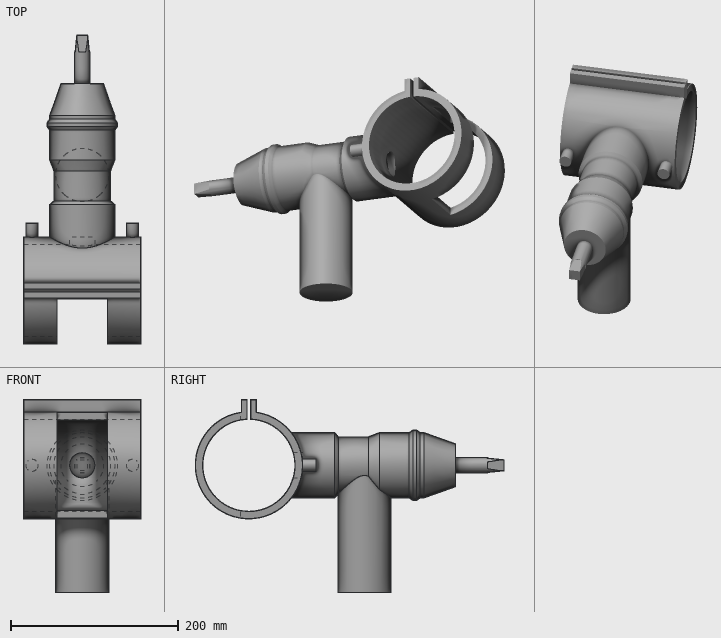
import cadquery as cq
import math

ring_length = 140.0
ring_outer_radius = 64.0
ring_wall = 9.0
ring_bore_radius = ring_outer_radius - ring_wall

lug_half_width = 9.0
slit_width = 4.0
lug_height_above_ring = 15.0
lug_top = math.sqrt(ring_outer_radius**2 - lug_half_width**2) + lug_height_above_ring

window_length = 60.0
window_edge_y = -10.0

wall_hole_diameter = 30.0

pin_diameter = 14.5
pin_spacing = 120.0
pin_end_y = 80.5

body_radius = 39.0
neck_radius = 34.0
collar_radius = 42.0
nose_tip_radius = 25.5
neck_start_y = 107.0
shoulder_chamfer = 4.5
neck_end_y = 143.0
barrel_start_y = 156.0
collar_start_y = 191.5
collar_step = 4.4
nose_tip_y = 247.0

shaft_radius = 9.5
shaft_end_y = 305.0
square_length = 20.0
square_end_width = 13.0
square_root_width = 17.2

handle_radius = 31.75
handle_center_y = 138.0
handle_bottom_z = -152.0


def cylinder_along_y(radius, start_y, end_y, center_x=0.0):
    return cq.Workplane("XZ", origin=(center_x, start_y, 0)).circle(radius).extrude(start_y - end_y)


def cylinder_along_x(radius, length):
    """Cylinder centred on the origin, with its seam at the top."""
    return cq.Workplane("ZY", origin=(length / 2, 0, 0)).circle(radius).extrude(length)


def make_ring_blank():
    """Solid ring cylinder with the lug block standing on it."""
    lugs = cq.Workplane("XY").box(ring_length, 2 * lug_half_width, lug_top, centered=(True, True, False))
    return cylinder_along_x(ring_outer_radius, ring_length).union(lugs)


def make_body():
    """Revolved body, from the ring axis to the nose tip; profile points are (y, radius)."""
    collar_flat_y = collar_start_y + collar_step
    collar_slope_y = collar_flat_y + collar_step
    collar_end_y = collar_slope_y + collar_step
    nose_start_y = collar_end_y + collar_step
    profile = [
        (0, 0),
        (0, body_radius),
        (neck_start_y - shoulder_chamfer, body_radius),
        (neck_start_y, neck_radius),
        (neck_end_y, neck_radius),
        (barrel_start_y, body_radius),
        (collar_start_y, body_radius),
        (collar_flat_y, collar_radius),
        (collar_slope_y, collar_radius),
        (collar_end_y, body_radius),
        (nose_start_y, body_radius),
        (nose_tip_y, nose_tip_radius),
        (nose_tip_y, 0),
    ]
    return cq.Workplane("YZ").polyline(profile).close().revolve(360, (0, 0, 0), (1, 0, 0))


def make_shaft():
    """Round shaft whose end is trimmed to a square tapering toward the tip."""
    square_root_y = shaft_end_y - square_length
    square = (
        cq.Workplane("XZ", origin=(0, shaft_end_y, 0))
        .rect(square_end_width, square_end_width)
        .workplane(offset=square_length)
        .rect(square_root_width, square_root_width)
        .loft(ruled=True)
    )
    square_end = cylinder_along_y(shaft_radius, square_root_y, shaft_end_y).intersect(square)
    return cylinder_along_y(shaft_radius, nose_tip_y, square_root_y).union(square_end)


def make_handle():
    return (
        cq.Workplane("XY", origin=(0, handle_center_y, handle_bottom_z))
        .circle(handle_radius)
        .extrude(-handle_bottom_z)
    )


def make_pins():
    pins = cq.Workplane("XY")
    for center_x in (-pin_spacing / 2, pin_spacing / 2):
        pins = pins.union(cylinder_along_y(pin_diameter / 2, ring_bore_radius, pin_end_y, center_x))
    return pins


def make_slit():
    return cq.Workplane("XY").box(ring_length, slit_width, lug_top, centered=(True, True, False))


def make_window():
    window_depth = ring_outer_radius + window_edge_y
    return (
        cq.Workplane("XY")
        .box(window_length, window_depth, 2 * ring_outer_radius)
        .translate((0, window_edge_y - window_depth / 2, 0))
    )


result = (
    make_ring_blank()
    .union(make_body())
    .union(make_shaft())
    .union(make_handle())
    .union(make_pins())
    .cut(cylinder_along_x(ring_bore_radius, ring_length))
    .cut(make_slit())
    .cut(make_window())
    .cut(cylinder_along_y(wall_hole_diameter / 2, 0, ring_outer_radius))
)